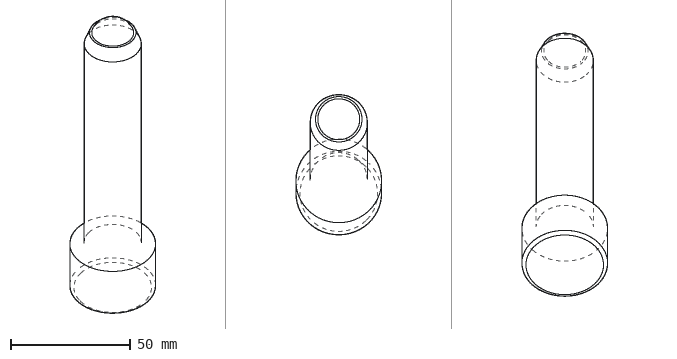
import cadquery as cq
import math

total_height = 146.06

head_diameter = 36.0
head_height = 24.0
head_chamfer_height = 1.0
head_chamfer_angle = 30.0

shaft_diameter = 24.0
shaft_length = 110.0
shaft_root_fillet = 0.8

taper_height = 6.0
step_diameter = 19.5
dome_base_diameter = 17.6

head_radius = head_diameter / 2
shaft_radius = shaft_diameter / 2
step_radius = step_diameter / 2
dome_base_radius = dome_base_diameter / 2
shaft_top = head_height + shaft_length
step_level = shaft_top + taper_height
head_chamfer_width = head_chamfer_height / math.tan(math.radians(head_chamfer_angle))
dome_height = total_height - step_level


def dome_arc_middle():
    """Middle point of the spherical dome arc between its base and the tip."""
    sphere_radius = (dome_base_radius**2 + dome_height**2) / (2 * dome_height)
    center_level = total_height - sphere_radius
    half_angle = math.asin(dome_base_radius / sphere_radius) / 2
    radius = sphere_radius * math.sin(half_angle)
    level = center_level + sphere_radius * math.cos(half_angle)
    return radius, level


def root_fillet_middle():
    """Middle point of the concave arc where the shaft meets the head."""
    offset = shaft_root_fillet * (1 - math.sqrt(0.5))
    return shaft_radius + offset, head_height + offset


def make_pin():
    """Revolve the half profile (radius, level) about the Z axis."""
    profile = (
        cq.Workplane("XZ")
        .moveTo(0, 0)
        .lineTo(head_radius - head_chamfer_width, 0)
        .lineTo(head_radius, head_chamfer_height)
        .lineTo(head_radius, head_height)
        .lineTo(shaft_radius + shaft_root_fillet, head_height)
        .threePointArc(root_fillet_middle(), (shaft_radius, head_height + shaft_root_fillet))
        .lineTo(shaft_radius, shaft_top)
        .lineTo(step_radius, step_level)
        .lineTo(dome_base_radius, step_level)
        .threePointArc(dome_arc_middle(), (0, total_height))
        .close()
    )
    return profile.revolve(360, (0, 0, 0), (0, 1, 0))


result = make_pin()